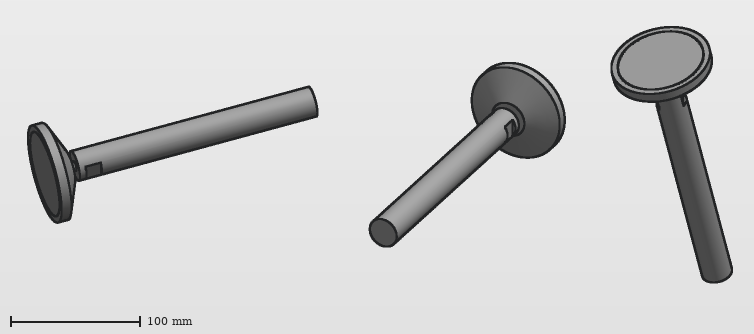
import cadquery as cq
import math

total_length = 220.0

foot_diameter = 78.0
foot_top_diameter = 28.5
rim_height = 8.1
foot_height = 20.0

groove_outer_diameter = 68.0
groove_inner_diameter = 67.5
groove_depth = 1.0

stem_diameter = 24.0
stem_start = 24.6
neck_diameter = 7.7

flats_start = 30.1
flats_length = 12.5
width_across_flats = 19.0

ball_diameter = 12.8
socket_opening_diameter = 10.5
ball_radius = ball_diameter / 2
ball_center = foot_height - math.sqrt(ball_radius**2 - (socket_opening_diameter / 2) ** 2)


def cylinder(diameter, start, end):
    """Cylinder along the Y axis from Y = start to Y = end."""
    solid = cq.Solid.makeCylinder(
        diameter / 2, end - start, cq.Vector(0, start, 0), cq.Vector(0, 1, 0)
    )
    return cq.Workplane(solid)


def make_ball():
    return cq.Workplane().sphere(ball_radius).translate((0, ball_center, 0))


def make_sole_groove():
    outer = cylinder(groove_outer_diameter, 0, groove_depth)
    return outer.cut(cylinder(groove_inner_diameter, 0, groove_depth))


def make_foot():
    outline = [
        (0, 0),
        (foot_diameter / 2, 0),
        (foot_diameter / 2, rim_height),
        (foot_top_diameter / 2, foot_height),
        (0, foot_height),
    ]
    body = cq.Workplane("XY").polyline(outline).close().revolve(360, (0, 0, 0), (0, 1, 0))
    return body.cut(make_ball()).cut(make_sole_groove())


def make_wrench_flat(side):
    """Material to remove on one side of the stem; side is -1 or +1 along X."""
    cut_depth = (stem_diameter - width_across_flats) / 2
    center_x = side * (width_across_flats + cut_depth) / 2
    center_y = flats_start + flats_length / 2
    block = cq.Workplane().box(cut_depth, flats_length, stem_diameter)
    return block.translate((center_x, center_y, 0))


def make_stem():
    stem = cylinder(stem_diameter, stem_start, total_length)
    for side in (-1, 1):
        stem = stem.cut(make_wrench_flat(side))
    neck = cylinder(neck_diameter, ball_center, stem_start)
    return stem.union(neck).union(make_ball())


foot = make_foot()
stem = make_stem()

result = cq.Compound.makeCompound([foot.val(), stem.val()])